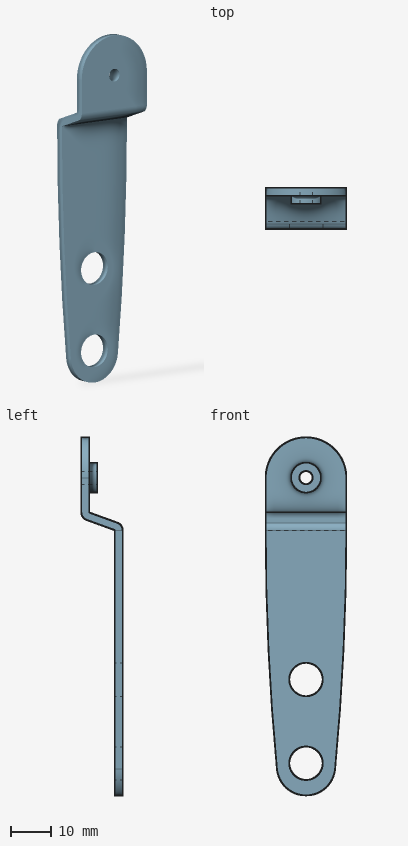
import cadquery as cq
import math

thickness = 2.0
strap_width = 20.0
total_height = 88.58
total_depth = 10.27
bend_angle = math.radians(20)
tab_bend_z = -8.6

tab_radius = strap_width / 2
top_z = tab_radius
bottom_z = top_z - total_height
end_radius = 7.25

tab_back_y = thickness
arm_front_y = tab_back_y - total_depth
arm_back_y = arm_front_y + thickness
joggle_drop = -arm_back_y * math.tan(bend_angle) + thickness / math.cos(bend_angle)
arm_bend_z = tab_bend_z - joggle_drop

pivot_hole_diameter = 3.2
mount_hole_diameter = 8.2
mount_hole_heights = (-49.9, -70.6)

boss_diameter = 7.4
boss_length = 2.0


def around_bend(corner_y, corner_z, angle):
    """Point one thickness from a bend's inner corner, at an angle from +Y toward +Z."""
    return (corner_y + thickness * math.cos(angle), corner_z + thickness * math.sin(angle))


def make_bent_sheet():
    """Side profile of the bent sheet, extruded over the full strap width."""
    tab_corner = (0, tab_bend_z)
    arm_corner = (arm_back_y, arm_bend_z)
    joggle_normal = math.pi / 2 + bend_angle
    return (
        cq.Workplane("YZ")
        .moveTo(0, top_z)
        .lineTo(*tab_corner)
        .lineTo(*around_bend(*arm_corner, joggle_normal))
        .threePointArc(
            around_bend(*arm_corner, (joggle_normal + math.pi) / 2),
            (arm_front_y, arm_bend_z),
        )
        .lineTo(arm_front_y, bottom_z)
        .lineTo(arm_back_y, bottom_z)
        .lineTo(*arm_corner)
        .lineTo(*around_bend(*tab_corner, joggle_normal - math.pi))
        .threePointArc(
            around_bend(*tab_corner, (joggle_normal - math.pi) / 2),
            (tab_back_y, tab_bend_z),
        )
        .lineTo(tab_back_y, top_z)
        .close()
        .extrude(strap_width / 2, both=True)
    )


def make_outline():
    """Front outline: round top, straight sides, gently curved taper, round lower end."""
    half_width = strap_width / 2
    end_center_z = bottom_z + end_radius
    taper_height = arm_bend_z - end_center_z
    taper_radius = (half_width**2 + taper_height**2 - end_radius**2) / (2 * (half_width - end_radius))
    taper_center_x = half_width - taper_radius
    taper_angle = math.asin(taper_height / (taper_radius - end_radius))

    def on_taper(angle):
        return (
            taper_center_x + taper_radius * math.cos(angle),
            arm_bend_z - taper_radius * math.sin(angle),
        )

    taper_middle_x, taper_middle_z = on_taper(taper_angle / 2)
    taper_end_x, taper_end_z = on_taper(taper_angle)
    return (
        cq.Workplane("XZ", origin=(0, tab_back_y, 0))
        .moveTo(-half_width, 0)
        .threePointArc((0, top_z), (half_width, 0))
        .lineTo(half_width, arm_bend_z)
        .threePointArc((taper_middle_x, taper_middle_z), (taper_end_x, taper_end_z))
        .threePointArc((0, bottom_z), (-taper_end_x, taper_end_z))
        .threePointArc((-taper_middle_x, taper_middle_z), (-half_width, arm_bend_z))
        .close()
        .extrude(total_depth)
    )


def make_hole_cutter(diameter, height):
    """Cylinder along Y through the whole depth of the strap."""
    return (
        cq.Workplane("XZ", origin=(0, tab_back_y, height))
        .circle(diameter / 2)
        .extrude(total_depth)
    )


def make_strap():
    strap = make_bent_sheet().intersect(make_outline())
    strap = strap.cut(make_hole_cutter(pivot_hole_diameter, 0))
    for height in mount_hole_heights:
        strap = strap.cut(make_hole_cutter(mount_hole_diameter, height))
    return strap


def make_boss():
    """Short ring seated on the tab's front face, in line with the pivot hole."""
    return (
        cq.Workplane("XZ")
        .circle(boss_diameter / 2)
        .circle(pivot_hole_diameter / 2)
        .extrude(boss_length)
    )


strap = make_strap()
boss = make_boss()

result = cq.Compound.makeCompound([strap.solids().val(), boss.val()])